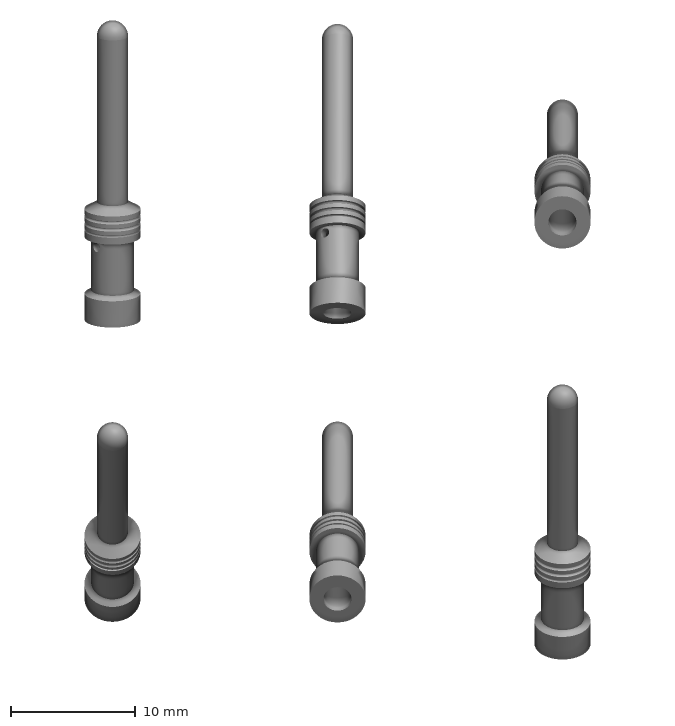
import cadquery as cq
import math

total_length = 25.0
flange_diameter = 4.5

pin_diameter = 2.5
tip_radius = pin_diameter / 2

barrel_diameter = 3.45
bore_diameter = 2.25
bore_depth = 7.0
sight_hole_diameter = 0.8
sight_hole_height = 6.4

foot_height = 2.2
collar_bottom = 6.95
collar_top = 9.3
cone_angle = math.radians(30)
cone_slope = math.tan(cone_angle)

groove_diameter = 4.1
groove_width = 0.188
lowest_groove_top = 7.7
groove_pitch = 0.6
barb_count = 2
barb_angle = cone_angle

flange_radius = flange_diameter / 2
pin_radius = pin_diameter / 2
barrel_radius = barrel_diameter / 2
groove_radius = groove_diameter / 2


def make_body():
    """Revolve the stepped outline of the contact around Z."""
    foot_cone_top = foot_height + (flange_radius - barrel_radius) * cone_slope
    collar_cone_top = collar_top + (flange_radius - pin_radius) * cone_slope
    tip_start = total_length - tip_radius
    tip_offset = tip_radius * math.sqrt(0.5)
    return (
        cq.Workplane("XZ")
        .moveTo(0, 0)
        .lineTo(flange_radius, 0)
        .lineTo(flange_radius, foot_height)
        .lineTo(barrel_radius, foot_cone_top)
        .lineTo(barrel_radius, collar_bottom)
        .lineTo(flange_radius, collar_bottom)
        .lineTo(flange_radius, collar_top)
        .lineTo(pin_radius, collar_cone_top)
        .lineTo(pin_radius, tip_start)
        .threePointArc((tip_offset, tip_start + tip_offset), (0, total_length))
        .close()
        .revolve(360, (0, 0, 0), (0, 1, 0))
    )


def make_groove(top, wall_angle):
    """Ring with a flat upper wall, a round root and a lower wall falling outward by wall_angle."""
    root_radius = groove_width / 2
    root_center_r = groove_radius + root_radius
    root_center_z = top - root_radius
    wall_start_r = root_center_r - root_radius * math.sin(wall_angle)
    wall_start_z = root_center_z - root_radius * math.cos(wall_angle)
    wall_end_z = wall_start_z - (flange_radius - wall_start_r) * math.tan(wall_angle)
    return (
        cq.Workplane("XZ")
        .moveTo(flange_radius, top)
        .lineTo(root_center_r, top)
        .threePointArc((groove_radius, root_center_z), (wall_start_r, wall_start_z))
        .lineTo(flange_radius, wall_end_z)
        .close()
        .revolve(360, (0, 0, 0), (0, 1, 0))
    )


def make_bore():
    """Blind wire bore, open at the foot."""
    return cq.Workplane("XY").circle(bore_diameter / 2).extrude(bore_depth)


def make_sight_hole():
    """Radial hole through the -Y wall of the barrel into the bore."""
    return (
        cq.Workplane("XZ")
        .center(0, sight_hole_height)
        .circle(sight_hole_diameter / 2)
        .extrude(barrel_radius)
    )


result = make_body()
result = result.cut(make_groove(lowest_groove_top, 0))
for barb in range(1, barb_count + 1):
    barb_top = lowest_groove_top + barb * groove_pitch
    result = result.cut(make_groove(barb_top, barb_angle))
result = result.cut(make_bore()).cut(make_sight_hole())